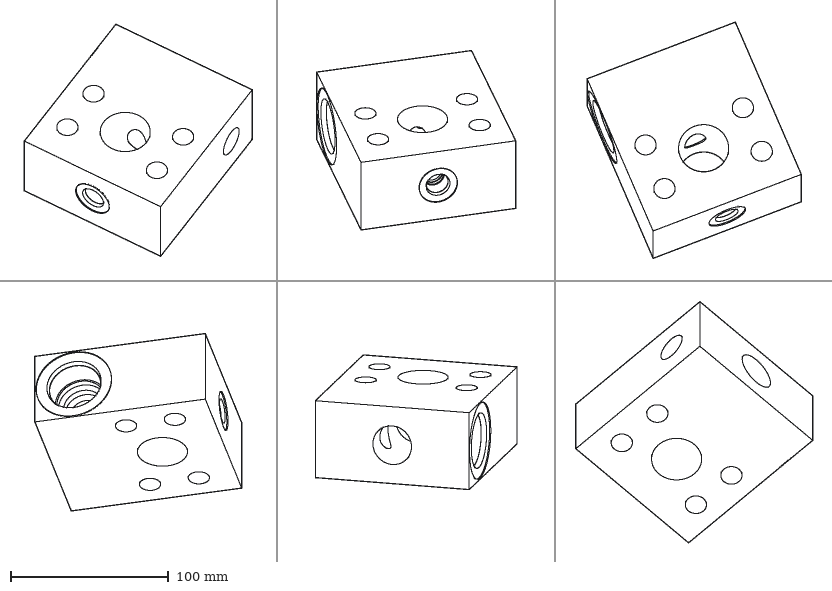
import cadquery as cq
import math

WIDTH = 101.6
LENGTH = 111.1
HEIGHT = 50.8
MID_X = WIDTH / 2
MID_Z = HEIGHT / 2

BORE_DIAMETER = 31.8
BORE_Y = 39.8
BOLT_DIAMETER = 13.5
BOLT_SPACING_X = 66.7
BOLT_SPACING_Y = 31.8

PASSAGE_DIAMETER = 19.0

BRANCH_DIAMETER = 25.5
BRANCH_TIP_Y = 49.7

DRILL_POINT_ANGLE = 118.0

TANK_PORT_Y = LENGTH - MID_Z
TANK_SPOTFACE_DIAMETER = 49.1
TANK_SEAT_DIAMETER = 35.3
TANK_SEAT_END_DIAMETER = 33.8
TANK_SEAT_DEPTH = 4.1
TANK_THREAD_DIAMETER = 33.3
TANK_THREAD_DEPTH = 20.1
TANK_TAP_DIAMETER = 31.2
TANK_TAP_DEPTH = 24.5
TANK_PILOT_DIAMETER = 25.5
TANK_PILOT_DEPTH = 31.1

GAUGE_SPOTFACE_DIAMETER = 25.0
GAUGE_SEAT_DIAMETER = 15.6
GAUGE_SEAT_END_DIAMETER = 14.6
GAUGE_SEAT_DEPTH = 3.2
GAUGE_THREAD_DIAMETER = 14.2
GAUGE_THREAD_DEPTH = 12.2
GAUGE_TAP_DIAMETER = 12.9
GAUGE_TAP_DEPTH = 14.5
GAUGE_PILOT_DIAMETER = 12.3
GAUGE_PILOT_DEPTH = 16.7

SPOTFACE_DEPTH = 0.8


def drill_point_length(start_diameter, end_diameter=0.0):
    """Length of a drill cone as it narrows between two diameters."""
    half_angle = math.radians(DRILL_POINT_ANGLE / 2)
    return (start_diameter - end_diameter) / 2 / math.tan(half_angle)


def port_cutter(plane, spotface, seat, seat_end, seat_depth, thread, thread_depth, drills):
    """Turned cutter with its mouth on the plane, reaching along the plane's local -Y.

    Each drill is a (diameter, depth) pair, widest first, and ends in a cone.
    The step from the thread to the first drill is flat.
    """
    profile = [
        (0, 0),
        (spotface / 2, 0),
        (spotface / 2, -SPOTFACE_DEPTH),
        (seat / 2, -SPOTFACE_DEPTH),
        (seat_end / 2, -seat_depth),
        (thread / 2, -seat_depth),
        (thread / 2, -thread_depth),
        (drills[0][0] / 2, -thread_depth),
    ]
    next_diameters = [diameter for diameter, _ in drills[1:]] + [0.0]
    for (diameter, depth), next_diameter in zip(drills, next_diameters):
        tip_depth = depth + drill_point_length(diameter, next_diameter)
        profile.append((diameter / 2, -depth))
        profile.append((next_diameter / 2, -tip_depth))
    return cq.Workplane(plane).polyline(profile).close().revolve(360, (0, 0), (0, 1))


def tank_port():
    mouth = cq.Plane(origin=(0, TANK_PORT_Y, MID_Z), xDir=(0, 1, 0), normal=(0, 0, 1))
    return port_cutter(
        mouth,
        TANK_SPOTFACE_DIAMETER,
        TANK_SEAT_DIAMETER,
        TANK_SEAT_END_DIAMETER,
        TANK_SEAT_DEPTH,
        TANK_THREAD_DIAMETER,
        TANK_THREAD_DEPTH,
        [(TANK_TAP_DIAMETER, TANK_TAP_DEPTH), (TANK_PILOT_DIAMETER, TANK_PILOT_DEPTH)],
    )


def gauge_port():
    mouth = cq.Plane(origin=(MID_X, 0, MID_Z), xDir=(-1, 0, 0), normal=(0, 0, 1))
    return port_cutter(
        mouth,
        GAUGE_SPOTFACE_DIAMETER,
        GAUGE_SEAT_DIAMETER,
        GAUGE_SEAT_END_DIAMETER,
        GAUGE_SEAT_DEPTH,
        GAUGE_THREAD_DIAMETER,
        GAUGE_THREAD_DEPTH,
        [(GAUGE_TAP_DIAMETER, GAUGE_TAP_DEPTH), (GAUGE_PILOT_DIAMETER, GAUGE_PILOT_DEPTH)],
    )


def vertical_holes():
    """Main bore and bolt holes, all through the full height."""
    floor = cq.Workplane("XY").center(MID_X, BORE_Y)
    bore = floor.circle(BORE_DIAMETER / 2).extrude(HEIGHT)
    bolts = floor.rect(BOLT_SPACING_X, BOLT_SPACING_Y, forConstruction=True).vertices()
    return bore.union(bolts.circle(BOLT_DIAMETER / 2).extrude(HEIGHT))


def passage():
    """Plain hole along X through the whole block."""
    start = cq.Workplane("YZ").center(TANK_PORT_Y, MID_Z)
    return start.circle(PASSAGE_DIAMETER / 2).extrude(WIDTH)


def branch():
    """Blind drilling along Y with a conical tip that opens into the bore."""
    radius = BRANCH_DIAMETER / 2
    shoulder_y = BRANCH_TIP_Y + drill_point_length(BRANCH_DIAMETER)
    profile = [(0, BRANCH_TIP_Y), (radius, shoulder_y), (radius, LENGTH), (0, LENGTH)]
    half_section = cq.Workplane("XY").polyline(profile).close()
    return half_section.revolve(360, (0, 0), (0, 1)).translate((MID_X, 0, MID_Z))


block = cq.Workplane("XY").box(WIDTH, LENGTH, HEIGHT, centered=False)
result = (
    block.cut(vertical_holes())
    .cut(passage())
    .cut(branch())
    .cut(tank_port())
    .cut(gauge_port())
)